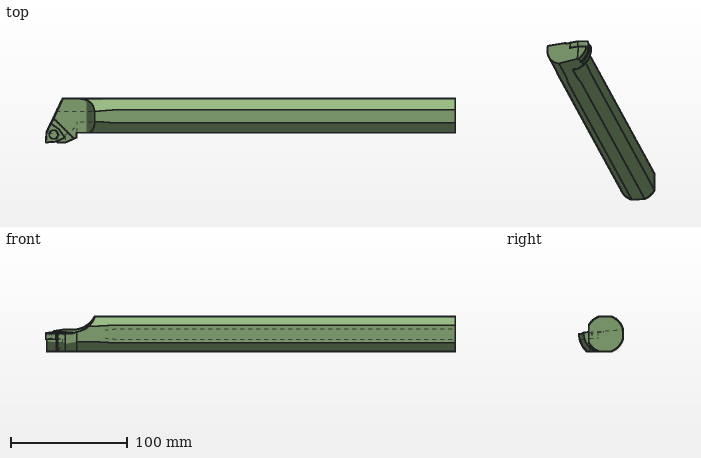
import cadquery as cq
import math


overall_length = 350.55
shank_radius = 16.0
neck_radius = 15.65
flat_height = 15.0
back_flat = 15.4
front_flat = 14.1
neck_end = 45.0
shank_start = 59.0

overall_depth = 37.86
tip_reach = overall_depth - back_flat
tip_height = 0.2
inscribed_radius = 12.7 / 2
insert_thickness = 4.76
nose_radius = 0.8
half_corner = math.radians(80 / 2)
corner_count = 3
corner_step = math.radians(360 / corner_count)
cutting_direction = math.radians(225)
pin_radius = 7.5 / 2
rake_angle = math.radians(4.5)

shelf_step = 0.7
shelf_width = 3.5
gullet_start = 23.6
gullet_radius = 20.0
bulge_radius = 20.0
seat_clearance = 0.8
seat_end = 9.3
bulge_start = 10.3
bulge_shoulder = 17.0
bulge_end = 26.5
bulge_end_radius = 15.7
nose_face = 1.0
nose_corner = 14.5
slant_angle = math.radians(25)
oversize = 60.0

corner_distance = inscribed_radius / math.sin(half_corner)
blunt_distance = inscribed_radius / math.cos(corner_step / 4 - half_corner / 2)
nose_distance = corner_distance - nose_radius / math.sin(half_corner)
insert_inset = nose_distance * math.sqrt(0.5) + nose_radius
tip_plane = cq.Plane(
    origin=(0, -tip_reach, tip_height),
    xDir=(1, 0, 0),
    normal=(0, -math.sin(rake_angle), math.cos(rake_angle)),
)


def on_tip_plane(body):
    """Move a body made about the origin onto the tilted plane through the cutting tip."""
    return cq.Workplane(body.val().moved(tip_plane.location))


def make_bar():
    """Round bar with a slim neck, trimmed to four flats."""
    profile = [
        (0, 0),
        (0, neck_radius),
        (neck_end, neck_radius),
        (shank_start, shank_radius),
        (overall_length, shank_radius),
        (overall_length, 0),
    ]
    bar = cq.Workplane("XY").polyline(profile).close().revolve(360, (0, 0, 0), (1, 0, 0))
    flats = cq.Workplane("XY").box(
        overall_length, front_flat + back_flat, 2 * flat_height, centered=(False, False, True)
    )
    return bar.intersect(flats.translate((0, -front_flat, 0)))


def make_bulge():
    """Round overhang of the head on -Y, turned about its own axis parallel to X."""
    axis_y = bulge_radius - tip_reach
    seat_radius = bulge_radius - seat_clearance
    profile = [
        (0, 0),
        (0, seat_radius),
        (seat_end, seat_radius),
        (bulge_start, bulge_radius),
        (bulge_shoulder, bulge_radius),
        (bulge_end, bulge_end_radius),
        (bulge_end, 0),
    ]
    turned = cq.Workplane("XY").polyline(profile).close().revolve(360, (0, 0, 0), (1, 0, 0))
    front_half = cq.Workplane("XY").box(
        oversize, oversize, 2 * flat_height, centered=(True, False, True)
    )
    return turned.translate((0, axis_y, 0)).intersect(front_half.translate((0, -oversize, 0)))


def make_gullet():
    """Cutter above the head: a flat face that sweeps up in an arc to the shank."""
    tool = (
        cq.Workplane("XZ")
        .moveTo(-oversize, shelf_step)
        .lineTo(gullet_start, shelf_step)
        .radiusArc((gullet_start + gullet_radius, shelf_step + gullet_radius), -gullet_radius)
        .lineTo(-oversize, shelf_step + gullet_radius)
        .close()
        .extrude(oversize, both=True)
    )
    return on_tip_plane(tool)


def make_shelf():
    """Cutter that lowers the head around the insert, up to a step at 45 degrees."""
    step_distance = inscribed_radius + shelf_width
    tool = (
        cq.Workplane("XY")
        .box(oversize, 2 * oversize, oversize, centered=(False, True, False))
        .translate((-oversize + step_distance, 0, 0))
        .rotate((0, 0, 0), (0, 0, 1), 45)
        .translate((insert_inset, insert_inset, 0))
    )
    return on_tip_plane(tool)


def make_end_trim():
    """Cutter for the blunt front face and the slanted face, square to the tilted top face."""
    corner_y = tip_reach - nose_corner
    run = oversize * math.tan(slant_angle)
    tool = (
        cq.Workplane("XY")
        .polyline([
            (-oversize, -oversize),
            (nose_face, -oversize),
            (nose_face, corner_y),
            (nose_face + run, corner_y + oversize),
            (-oversize, corner_y + oversize),
        ])
        .close()
        .extrude(oversize, both=True)
    )
    return on_tip_plane(tool)


def make_trigon():
    """Solid trigon with rounded corners, its top face on the tilted plane."""
    points = []
    for corner in range(corner_count):
        sharp = cutting_direction + corner * corner_step
        blunt = sharp + corner_step / 2
        for direction, distance in ((sharp, corner_distance), (blunt, blunt_distance)):
            points.append((distance * math.cos(direction), distance * math.sin(direction)))
    prism = cq.Workplane("XY").polyline(points).close().extrude(-insert_thickness)
    for point in points[::2]:
        nearest = cq.selectors.NearestToPointSelector((*point, -insert_thickness / 2))
        prism = prism.edges(nearest).fillet(nose_radius)
    return on_tip_plane(prism.translate((insert_inset, insert_inset, 0)))


def make_pin():
    """Pin of the holder that fills the insert's hole, flush with the insert's top."""
    pin = cq.Workplane("XY").circle(pin_radius).extrude(-insert_thickness)
    return on_tip_plane(pin.translate((insert_inset, insert_inset, 0)))


def make_holder(insert_space):
    body = make_bar().union(make_bulge())
    for cutter in (make_gullet(), make_shelf(), make_end_trim(), insert_space):
        body = body.cut(cutter)
    return body.union(make_pin())


trigon = make_trigon()
insert = trigon.cut(make_pin())
holder = make_holder(trigon)

result = cq.Compound.makeCompound([holder.val(), insert.val()])